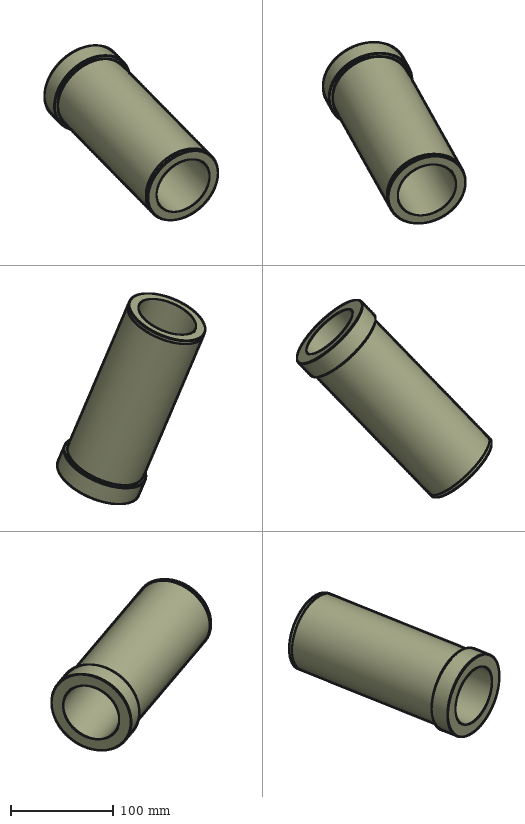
import cadquery as cq

total_length = 195.0
head_length = 20.0
head_diameter = 86.0
body_diameter = 80.0
bore_diameter = 60.0

edge_chamfer = 0.5
bore_chamfer = 0.2
undercut_width = 1.0
undercut_depth = 0.5
lead_length = 4.0
lead_clearance = 0.02


def cylinder(start, length, diameter):
    """Solid cylinder along +X, starting at the given X position."""
    return cq.Workplane("YZ").workplane(offset=start).circle(diameter / 2).extrude(length)


def make_head():
    """Collar with both outer edges chamfered."""
    return cylinder(0, head_length, head_diameter).edges().chamfer(edge_chamfer)


def make_undercut_neck():
    """Reduced section between the head and the body."""
    return cylinder(head_length, undercut_width, body_diameter - 2 * undercut_depth)


def make_body():
    """Full-diameter guiding section."""
    start = head_length + undercut_width
    return cylinder(start, total_length - lead_length - start, body_diameter)


def make_lead_in():
    """Slightly smaller end section with a chamfered free edge."""
    lead_in = cylinder(total_length - lead_length, lead_length, body_diameter - lead_clearance)
    return lead_in.faces(">X").edges().chamfer(edge_chamfer)


def make_bore():
    """Through bore with a small conical mouth in the head face."""
    bore_radius = bore_diameter / 2
    profile = (
        cq.Workplane("XY")
        .moveTo(0, 0)
        .lineTo(0, bore_radius + bore_chamfer)
        .lineTo(bore_chamfer, bore_radius)
        .lineTo(total_length, bore_radius)
        .lineTo(total_length, 0)
        .close()
    )
    return profile.revolve(360, (0, 0, 0), (1, 0, 0))


outside = make_head().union(make_undercut_neck()).union(make_body()).union(make_lead_in())
result = outside.cut(make_bore())